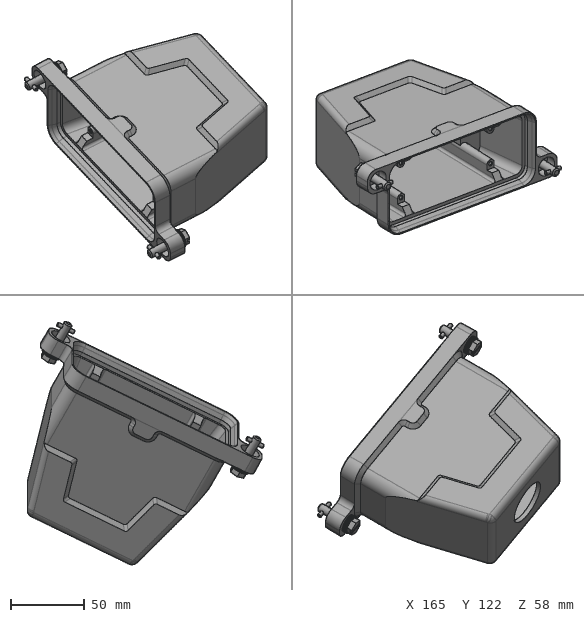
import cadquery as cq
import math


flange_half_x = 64.5
flange_half_z = 29.0
flange_corner = 11.0
flange_depth = 12.0
flange_draft = 1.0
skirt = 3.0
lug_end_x = 82.5
lug_inner_z = 10.0
lug_corner = 7.5
lug_root_fillet = 4.0
lug_bore_diameter = 14.0
lug_bore_depth = 8.0

hood_half_x = flange_half_x - skirt
hood_half_z = flange_half_z - skirt
hood_corner = 8.5
hood_back_y = 110.75
side_angle = math.radians(15)
side_slope = math.tan(side_angle)
slope_start_y = 35.5
thick_start_y = 58.0
step = flange_half_z - hood_half_z
thick_edge_round = 4.2
back_edge_round = 5.0
cable_hole_diameter = 31.5

panel_half_width_low = 29.7
panel_top_y = 86.0
panel_corner = 3.0

pad_half_width = 10.4
pad_top_y = 25.0
pad_corner = 6.5
pad_root_round = 1.4

rim_section = [(1.2, 0.0), (2.3, 2.4), (3.5, 5.8)]
ledge_y = 8.7
cavity_half_x = 58.6
cavity_half_z = 23.0
cavity_back_half_z = 22.3
cavity_corner = 5.5
cavity_draft = 0.145
shelf_y = 48.0
bend_y = 74.0
back_wall = 3.25
cavity_back_y = hood_back_y - back_wall
cavity_back_left_x = -38.5
deep_right_x = 36.0
deep_right_back_x = 35.1
deep_corner = 2.0
cavity_back_fillet = 1.0

post_x = 38.8
post_z = 13.5
post_face_y = 18.2
post_radius = 3.0
post_back_radius = 4.4
post_root_fillet = 2.0
post_hole_diameter = 2.2
post_hole_rim_diameter = 3.2
post_hole_depth = 12.0
foot_z = 17.4
foot_front_y = 13.0
foot_tip_z = 22.8
gusset_inner_z = 14.0
gusset_front_y = 82.0

pin_x = 73.0
pin_z = 19.5
shaft_diameter = 6.0
pin_tip_y = -11.2
tip_chamfer = 0.8
tip_chamfer_length = 1.2
bar_diameter = 3.0
bar_length = 13.0
bar_y = -7.1
bar_chamfer = 0.4
washer_diameter = 13.0
washer_thickness = 1.3
washer_gap = 0.4
washer_gap_diameter = 12.0
washer_teeth = 60
washer_tooth_depth = 0.4
head_across_flats = 10.0
head_height = 4.0
slot_width = 1.6
slot_depth = 1.6


def plane_at(y):
    """Workplane on which local x is X, local y is Z and a negative extrusion goes toward +Y."""
    return cq.Workplane("XZ", origin=(0, y, 0))


def rounded_outline(y, left, right, half_z, left_radius, right_radius):
    """Closed wire at depth y: a rectangle with its own corner radius at each end."""
    diag = 1 - math.sqrt(0.5)
    rl, rr = left_radius, right_radius
    return (
        plane_at(y)
        .moveTo(left + rl, -half_z)
        .lineTo(right - rr, -half_z)
        .threePointArc((right - rr * diag, -half_z + rr * diag), (right, -half_z + rr))
        .lineTo(right, half_z - rr)
        .threePointArc((right - rr * diag, half_z - rr * diag), (right - rr, half_z))
        .lineTo(left + rl, half_z)
        .threePointArc((left + rl * diag, half_z - rl * diag), (left, half_z - rl))
        .lineTo(left, -half_z + rl)
        .threePointArc((left + rl * diag, -half_z + rl * diag), (left + rl, -half_z))
        .close()
        .val()
    )


def inset_outline(y, inset):
    """The flange outline moved inward by inset."""
    half_x = flange_half_x - inset
    radius = flange_corner - inset
    return rounded_outline(y, -half_x, half_x, flange_half_z - inset, radius, radius)


def hood_outline(y):
    """Outline of the thin part of the hood, before the sides lean in."""
    return rounded_outline(y, -hood_half_x, hood_half_x, hood_half_z, hood_corner, hood_corner)


def loft(*wires):
    return cq.Workplane(cq.Solid.makeLoft(list(wires), True))


def half_turn(body):
    """The same body turned half a turn about the Y axis."""
    return body.rotate((0, 0, 0), (0, 1, 0), 180)


def hood_x(y):
    """Half width of the hood at depth y."""
    return hood_half_x - max(0, y - slope_start_y) * side_slope


def make_flange():
    flange = loft(inset_outline(0, 0), inset_outline(flange_depth, 0))
    lug = (
        plane_at(0)
        .moveTo(-lug_end_x, lug_inner_z)
        .lineTo(0, lug_inner_z)
        .lineTo(0, flange_half_z)
        .lineTo(-lug_end_x, flange_half_z)
        .close()
        .extrude(-flange_depth)
        .edges("|Y and <X")
        .fillet(lug_corner)
    )
    flange = flange.union(lug).union(half_turn(lug))
    for x in (-flange_half_x, flange_half_x):
        root = cq.selectors.NearestToPointSelector((x, flange_depth / 2, -math.copysign(lug_inner_z, x)))
        flange = flange.edges("|Y").edges(root).fillet(lug_root_fillet)
    outline = flange.faces(">Y").wires().val()
    toward_front = cq.Vector(0, -flange_depth, 0)
    flange = cq.Workplane(cq.Solid.extrudeLinear(outline, [], toward_front, flange_draft))
    skirt_ring = loft(inset_outline(flange_depth, 0), hood_outline(flange_depth + skirt))
    return flange.union(skirt_ring)


def side_profile(start_y, half_z):
    """Hood silhouette from start_y to the back, extruded through the given thickness."""
    front_x = hood_x(start_y)
    back_x = hood_x(hood_back_y)
    points = [(-front_x, start_y), (front_x, start_y)]
    if start_y < slope_start_y:
        points.append((hood_half_x, slope_start_y))
    points += [(back_x, hood_back_y), (-back_x, hood_back_y)]
    if start_y < slope_start_y:
        points.append((-hood_half_x, slope_start_y))
    return cq.Workplane("XY").polyline(points).close().extrude(half_z, both=True)


def make_lower_hood():
    """Thin part with round corners, cut by the sloping sides."""
    tube = loft(hood_outline(flange_depth), hood_outline(thick_start_y))
    return tube.intersect(side_profile(0, flange_half_z))


def panel_outline(z, offset):
    """Outline of the recess at height z, moved outward by offset from its floor outline."""
    far_x = 2 * hood_half_x
    low_y = thick_start_y + offset
    top_y = panel_top_y + offset
    low_half = panel_half_width_low + offset / math.cos(side_angle) - offset * side_slope
    top_half = low_half - (top_y - low_y) * side_slope
    right = [(far_x, 0), (far_x, low_y), (low_half, low_y), (top_half, top_y)]
    left = [(-x, y) for x, y in reversed(right)]
    return cq.Workplane("XY", origin=(0, 0, z)).polyline(right + left).close().val()


def panel_cut():
    """Recess above the thin part: all of the front, and a trapezoid reaching back, with 45 degree walls."""
    cut = loft(panel_outline(hood_half_z, 0), panel_outline(flange_half_z, step))
    for x in (-1, 1):
        for y in (thick_start_y, panel_top_y):
            half = panel_half_width_low - (y - thick_start_y) * side_slope
            corner = cq.selectors.NearestToPointSelector((x * half, y, hood_half_z + step / 2))
            cut = cut.edges("not #Z").edges("not |X").edges(corner).fillet(panel_corner)
    return cut


def make_thick_hood():
    block = side_profile(thick_start_y, flange_half_z)
    block = block.faces(">Y").edges().fillet(back_edge_round)
    block = block.edges(cq.selectors.BoxSelector(
        (-hood_half_x, thick_start_y + 1, -2 * flange_half_z),
        (hood_half_x, hood_back_y - 2*back_edge_round, 2 * flange_half_z),
    )).fillet(thick_edge_round)
    cut = panel_cut()
    return block.cut(cut).cut(half_turn(cut))


def pad_outline(inset):
    """Outline of the pad at inset above the hood; its 45 degree walls and the skirt lean in together."""
    half = pad_half_width - inset
    top = pad_top_y - inset
    radius = pad_corner - inset
    bottom = flange_depth + skirt - inset
    root = pad_root_round + inset
    diag = 1 - math.sqrt(0.5)
    return (
        cq.Workplane("XY", origin=(0, 0, hood_half_z + inset))
        .moveTo(-half - root, bottom)
        .lineTo(half + root, bottom)
        .threePointArc((half + root * diag, bottom + root * diag), (half, bottom + root))
        .lineTo(half, top - radius)
        .threePointArc((half - radius * diag, top - radius * diag), (half - radius, top))
        .lineTo(radius - half, top)
        .threePointArc((radius * diag - half, top - radius * diag), (-half, top - radius))
        .lineTo(-half, bottom + root)
        .threePointArc((-half - root * diag, bottom + root * diag), (-half - root, bottom))
        .close()
        .val()
    )


def make_pad():
    return loft(pad_outline(0), pad_outline(step))


def rim_opening():
    """Stepped mouth of the flange down to the flat ledge."""
    outlines = [inset_outline(y, inset) for inset, y in rim_section]
    last_inset = rim_section[-1][0]
    outlines.append(inset_outline(ledge_y, last_inset))
    opening = loft(outlines[0], outlines[1])
    for front, back in zip(outlines[1:], outlines[2:]):
        opening = opening.union(loft(front, back))
    return opening


def make_cavity():
    def end_x(y):
        return cavity_half_x - (y - ledge_y) * cavity_draft

    bend_share = (bend_y - shelf_y) / (cavity_back_y - shelf_y)
    bend_right_x = deep_right_x + (deep_right_back_x - deep_right_x) * bend_share

    def half_z(y):
        share = (y - ledge_y) / (cavity_back_y - ledge_y)
        return cavity_half_z + (cavity_back_half_z - cavity_half_z) * share

    def deep_outline(y, left, right):
        return rounded_outline(y, left, right, half_z(y), cavity_corner, deep_corner)

    def mouth_outline(y):
        return rounded_outline(y, -end_x(y), end_x(y), half_z(y), cavity_corner, cavity_corner)

    mouth = loft(mouth_outline(ledge_y), mouth_outline(shelf_y))
    bend = deep_outline(bend_y, -end_x(bend_y), bend_right_x)
    middle = loft(deep_outline(shelf_y, -end_x(shelf_y), deep_right_x), bend)
    deep = loft(bend, deep_outline(cavity_back_y, cavity_back_left_x, deep_right_back_x))
    deep = deep.faces(">Y").edges().fillet(cavity_back_fillet)
    return mouth.union(middle).union(deep)


def post_outline(y, radius, floor_z):
    """Round-nosed outline of a post that flares into the cavity wall at floor_z."""
    fillet = post_root_fillet
    diag = fillet * (1 - math.sqrt(0.5))
    root_z = floor_z - fillet
    foot_half = radius + fillet
    return (
        plane_at(y)
        .moveTo(-foot_half, flange_half_z)
        .lineTo(-foot_half, floor_z)
        .threePointArc((-radius - diag, floor_z - diag), (-radius, root_z))
        .lineTo(-radius, post_z)
        .threePointArc((0, post_z - radius), (radius, post_z))
        .lineTo(radius, root_z)
        .threePointArc((radius + diag, floor_z - diag), (foot_half, floor_z))
        .lineTo(foot_half, flange_half_z)
        .close()
        .val()
    )


def make_post():
    """Drafted post on X = 0 against the +Z wall, with its stepped foot and screw hole."""
    post = loft(
        post_outline(ledge_y, post_radius, cavity_half_z),
        post_outline(hood_back_y, post_back_radius, cavity_back_half_z),
    )
    above_foot = (
        cq.Workplane("YZ")
        .moveTo(post_face_y, 0)
        .lineTo(post_face_y, foot_z)
        .lineTo(foot_front_y, foot_z)
        .lineTo(ledge_y, foot_tip_z)
        .lineTo(0, foot_tip_z)
        .lineTo(0, 0)
        .close()
        .extrude(flange_half_z, both=True)
    )
    hole = plane_at(post_face_y).center(0, post_z).circle(post_hole_diameter / 2).extrude(-post_hole_depth)
    rim_depth = (post_hole_rim_diameter - post_hole_diameter) / 2
    rim = cq.Workplane(cq.Solid.makeCone(
        post_hole_rim_diameter / 2,
        post_hole_diameter / 2,
        rim_depth,
        pnt=cq.Vector(0, post_face_y, post_z),
        dir=cq.Vector(0, 1, 0),
    ))
    return post.cut(above_foot).cut(hole).cut(rim)


def make_gusset():
    """Block that ties a -X post to the sloping end wall, on the +Z side."""
    return cq.Workplane("XY").box(
        post_x,
        hood_back_y - gusset_front_y,
        flange_half_z - gusset_inner_z,
        centered=False,
    ).translate((-2 * post_x, gusset_front_y, gusset_inner_z))


def make_inner_space():
    """Cavity less the posts and gussets that stay standing in it."""
    space = make_cavity()
    post = make_post()
    gusset = make_gusset()
    for x in (-post_x, post_x):
        upper = post.translate((x, 0, 0))
        space = space.cut(upper).cut(upper.mirror("XY"))
    return space.cut(gusset).cut(gusset.mirror("XY"))


def make_housing():
    housing = make_flange().union(make_lower_hood()).union(make_thick_hood())
    pad = make_pad()
    housing = housing.union(pad).union(half_turn(pad))
    housing = housing.cut(rim_opening()).cut(make_inner_space())
    housing = housing.cut(plane_at(0).circle(cable_hole_diameter / 2).extrude(-2 * hood_back_y))
    pin_places = [(-pin_x, pin_z), (pin_x, -pin_z)]
    bores = plane_at(0).pushPoints(pin_places).circle(lug_bore_diameter / 2).extrude(-lug_bore_depth)
    shaft_holes = plane_at(0).pushPoints(pin_places).circle(shaft_diameter / 2).extrude(-flange_depth)
    return housing.cut(bores).cut(shaft_holes)


def toothed_washer(y):
    outer = washer_diameter / 2
    points = []
    for i in range(2 * washer_teeth):
        radius = outer - washer_tooth_depth * (i % 2)
        angle = math.pi * i / washer_teeth
        points.append((radius * math.cos(angle), radius * math.sin(angle)))
    return plane_at(y).polyline(points).close().extrude(-washer_thickness)


def make_pin():
    """Locking pin on the Y axis: cross-barred shaft, pair of toothed washers and slotted hex head."""
    gap_y = flange_depth + washer_thickness
    second_washer_y = gap_y + washer_gap
    head_y = second_washer_y + washer_thickness
    shaft = (
        plane_at(pin_tip_y)
        .circle(shaft_diameter / 2)
        .extrude(pin_tip_y - head_y)
        .faces("<Y")
        .chamfer(tip_chamfer, tip_chamfer_length)
    )
    bar = (
        cq.Workplane("YZ", origin=(-bar_length / 2, bar_y, 0))
        .circle(bar_diameter / 2)
        .extrude(bar_length)
        .faces("<X or >X")
        .chamfer(bar_chamfer)
    )
    spacer = plane_at(gap_y).circle(washer_gap_diameter / 2).extrude(-washer_gap)
    head = (
        plane_at(head_y)
        .transformed(rotate=(0, 0, 90))
        .polygon(6, head_across_flats / math.cos(math.pi / 6))
        .extrude(-head_height)
    )
    slot = (
        plane_at(head_y + head_height - slot_depth)
        .rect(2 * head_across_flats, slot_width)
        .extrude(-slot_depth)
    )
    washers = toothed_washer(flange_depth).union(spacer).union(toothed_washer(second_washer_y))
    return shaft.union(bar).union(washers).union(head.cut(slot))


housing = make_housing()
pin = make_pin()
pins = [
    pin.translate((x, 0, z)).val()
    for x, z in [(-pin_x, pin_z), (pin_x, -pin_z)]
]

result = cq.Compound.makeCompound([housing.val(), *pins])